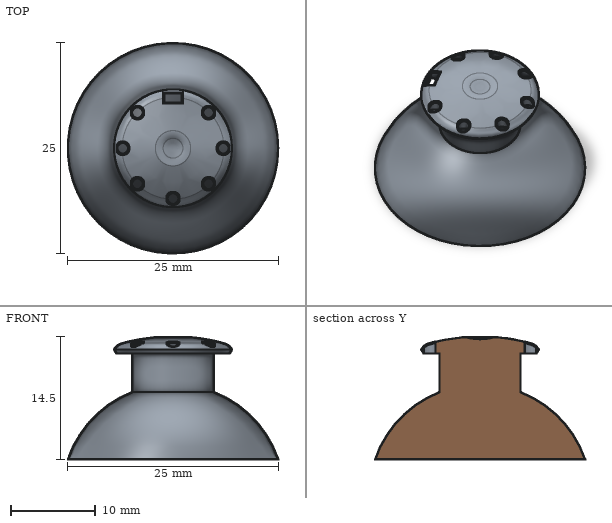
import cadquery as cq
import math

base_radius = 12.5
neck_radius = 9.7 / 2
neck_bottom = 8.0

cap_bottom = 12.58
cap_bottom_radius = 6.72
rim_height = 13.02
rim_radius = 7.0
crown_radius = 6.05
crown_height = 13.8
cap_top = 14.52

lip_radius = 2.1
hollow_radius = 1.18
hollow_edge_height = 14.42
hollow_bottom = 14.3

opening_circle_radius = 5.98
hole_count = 8
slot_position = 2
hole_diameter = 1.3
slot_length = 2.05
slot_width = 1.05
rim_chamfer = 0.15

flat_tolerance = 0.002


def sphere_center_height(r1, z1, r2, z2):
    """Height of the center of a sphere on the Z axis through two profile points."""
    return (r1**2 + z1**2 - r2**2 - z2**2) / (2 * (z1 - z2))


def sphere_height(r, center, sphere_radius):
    return center + math.sqrt(sphere_radius**2 - r**2)


def make_body():
    base_center = sphere_center_height(base_radius, 0, neck_radius, neck_bottom)
    base_sphere = math.hypot(base_radius, base_center)
    base_mid = (base_radius + neck_radius) / 2

    crown_center = sphere_center_height(crown_radius, crown_height, lip_radius, cap_top)
    crown_sphere = math.hypot(crown_radius, crown_height - crown_center)
    crown_mid = (crown_radius + lip_radius) / 2

    shoulder_run = rim_radius - crown_radius
    shoulder_drop = crown_height - rim_height
    crown_slope = math.asin(crown_radius / crown_sphere)
    half_turn = math.atan2(shoulder_drop, shoulder_run) - crown_slope
    shoulder_bulge = math.hypot(shoulder_run, shoulder_drop) / 2 * math.tan(half_turn / 2)

    hollow_depth = hollow_edge_height - hollow_bottom
    hollow_sphere = (hollow_radius**2 + hollow_depth**2) / (2 * hollow_depth)
    hollow_center = hollow_bottom + hollow_sphere
    hollow_mid = hollow_radius / 2
    hollow_mid_height = hollow_center - math.sqrt(hollow_sphere**2 - hollow_mid**2)

    return (
        cq.Workplane("XZ")
        .lineTo(base_radius, 0)
        .threePointArc(
            (base_mid, sphere_height(base_mid, base_center, base_sphere)),
            (neck_radius, neck_bottom),
        )
        .lineTo(neck_radius, cap_bottom)
        .lineTo(cap_bottom_radius, cap_bottom)
        .lineTo(rim_radius, rim_height)
        .sagittaArc((crown_radius, crown_height), -shoulder_bulge)
        .threePointArc(
            (crown_mid, sphere_height(crown_mid, crown_center, crown_sphere)),
            (lip_radius, cap_top),
        )
        .tangentArcPoint((hollow_radius, hollow_edge_height), relative=False)
        .threePointArc((hollow_mid, hollow_mid_height), (0, hollow_bottom))
        .close()
        .revolve(360, (0, 0, 0), (0, 1, 0))
    )


def make_openings():
    cut_height = cap_top - cap_bottom
    start = cq.Workplane("XY", origin=(0, 0, cap_bottom))
    slot = start.center(0, opening_circle_radius).rect(slot_length, slot_width).extrude(cut_height)
    openings = [slot]
    for position in range(hole_count):
        if position == slot_position:
            continue
        angle = 2 * math.pi * position / hole_count
        x = opening_circle_radius * math.cos(angle)
        y = opening_circle_radius * math.sin(angle)
        openings.append(start.center(x, y).circle(hole_diameter / 2).extrude(cut_height))
    return openings


def is_crown_seam(edge):
    """True for the circle pieces between neighboring openings."""
    is_level = edge.BoundingBox().zlen < flat_tolerance
    return is_level and abs(edge.Center().z - crown_height) < flat_tolerance


def is_upper_rim(edge):
    """True for the edges where the openings leave the crown and the shoulder."""
    center = edge.Center()
    radius = math.hypot(center.x, center.y)
    box = edge.BoundingBox()
    is_local = max(box.xlen, box.ylen) < 2 * hole_diameter
    is_upright = box.zlen > rim_height - cap_bottom
    return neck_radius < radius < rim_radius and center.z > rim_height and is_local and not is_upright


def cut_openings(body):
    for opening in make_openings():
        body = body.cut(opening)
    return body


def chamfer_rims(body):
    """Bevel the upper rim of every opening."""
    solid = body.val()
    rims = [edge for edge in solid.Edges() if is_upper_rim(edge) and not is_crown_seam(edge)]
    return cq.Workplane(solid.chamfer(rim_chamfer, None, rims))


result = chamfer_rims(cut_openings(make_body()))